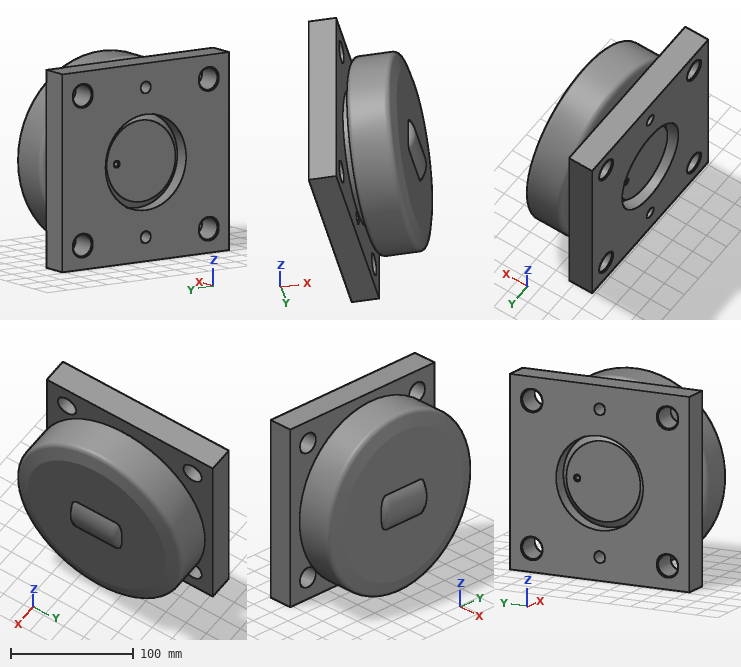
import cadquery as cq
import math

plate_side = 165.0
plate_thickness = 23.1

hole_offset = 62.4
bolt_radius = 9.0
bolt_mouth_radius = 10.0
dowel_radius = 5.0

bore_radius = 40.0
pin_face_radius = 34.0
pin_face_depth = 6.8
pin_chamfer = bore_radius - pin_face_radius

grease_hole_y = 24.1
grease_hole_radius = 2.0
grease_mouth_radius = 3.0
grease_hole_depth = 9.9

neck_radius = 56.6
roller_radius = plate_side / 2
roller_back = 31.2
roller_front = 70.6
back_round = 4.5
crown_start = 63.0
crown_round = 4.6
crown_angle = math.radians(70)
front_face_radius = 68.5

cross_tip = 76.0
cross_radius = 26.4
cross_half_length = 25.0
cross_end_round = 6.0
cross_center = cross_tip - cross_radius


def disc(radius, start, length):
    """Cylinder along X, centred on the X axis."""
    return cq.Workplane("YZ").workplane(offset=start).circle(radius).extrude(length)


def cone(start_radius, end_radius, start, length):
    """Truncated cone along X, centred on the X axis."""
    end = start + length
    profile = [(start, 0), (start, start_radius), (end, end_radius), (end, 0)]
    return cq.Workplane("XY").polyline(profile).close().revolve(360, (0, 0), (1, 0))


def countersunk_hole(radius, mouth_radius, start, depth):
    """Cutter for a round hole with a 45 degree mouth."""
    mouth_depth = mouth_radius - radius
    return disc(radius, start, depth).union(cone(mouth_radius, radius, start, mouth_depth))


def make_roller():
    """Main roller with a rounded back edge and a crowned front edge."""
    def crown_point(angle):
        return (
            crown_start + crown_round * math.sin(angle),
            roller_radius - crown_round * (1 - math.cos(angle)),
        )

    back_middle = back_round * (1 - math.sqrt(0.5))
    return (
        cq.Workplane("XY")
        .moveTo(roller_back, 0)
        .lineTo(roller_back, roller_radius - back_round)
        .threePointArc(
            (roller_back + back_middle, roller_radius - back_middle),
            (roller_back + back_round, roller_radius),
        )
        .lineTo(crown_start, roller_radius)
        .threePointArc(crown_point(crown_angle / 2), crown_point(crown_angle))
        .lineTo(roller_front, front_face_radius)
        .lineTo(roller_front, 0)
        .close()
        .revolve(360, (0, 0), (1, 0))
    )


def make_cross_roller():
    """Front half of a cross roller with rounded ends, its axis parallel to Y."""
    front_half = (
        cq.Workplane("XY")
        .box(cross_radius, 2 * cross_half_length, 2 * cross_radius, centered=(False, True, True))
        .translate((cross_center, 0, 0))
    )
    return (
        cq.Workplane("XZ")
        .center(cross_center, 0)
        .circle(cross_radius)
        .extrude(cross_half_length, both=True)
        .edges()
        .fillet(cross_end_round)
        .intersect(front_half)
    )


plate = cq.Workplane("XY").box(plate_thickness, plate_side, plate_side, centered=(False, True, True))
neck = disc(neck_radius, plate_thickness, roller_back - plate_thickness)
bolt_cutter = countersunk_hole(bolt_radius, bolt_mouth_radius, 0, plate_thickness)
dowel_cutter = disc(dowel_radius, 0, plate_thickness)

for side in (-1, 1):
    plate = plate.cut(dowel_cutter.translate((0, 0, side * hole_offset)))
    for level in (-1, 1):
        plate = plate.cut(bolt_cutter.translate((0, side * hole_offset, level * hole_offset)))

bore = disc(bore_radius, 0, pin_face_depth + pin_chamfer)
pin_end = cone(pin_face_radius, bore_radius, pin_face_depth, pin_chamfer)
grease_cutter = countersunk_hole(grease_hole_radius, grease_mouth_radius, pin_face_depth, grease_hole_depth)

result = (
    plate.union(neck)
    .union(make_roller())
    .union(make_cross_roller())
    .cut(bore.cut(pin_end))
    .cut(grease_cutter.translate((0, grease_hole_y, 0)))
)